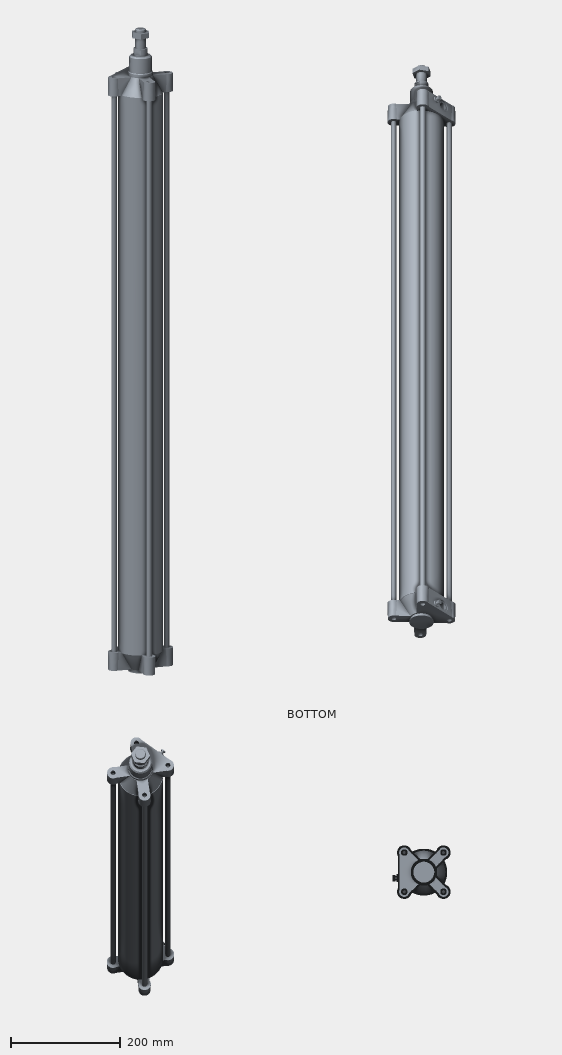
import cadquery as cq
import math

total_height = 1218.0
rear_cap_bottom = 6.0
cap_height = 34.0
front_cap_top = 1130.0
front_cap_bottom = front_cap_top - cap_height
rear_cap_top = rear_cap_bottom + cap_height
hub_top = 1168.0
overlap = 1.0

barrel_diameter = 83.0
tie_rod_diameter = 10.0

cap_width = 95.0
lobe_inner_diameter = 23.0
lobe_outer_diameter = 22.0
corner_offset = (cap_width - lobe_inner_diameter) / 2
arm_width = 21.0
arm_angles = (45, -45)
cap_face_offset = 46.0
cone_small_diameter = 46.0
screw_hole_diameter = 8.9
screw_hole_depth = 16.0

port_diameter = 15.0
port_spotface_diameter = 23.0
port_spotface_depth = 1.0
port_depth = 15.0
port_y = -9.0
port_from_inner_face = 21.0
screw_y = 11.0
screw_from_inner_face = 25.0
screw_head_diameter = 8.9
screw_neck_diameter = 6.0
screw_seat_diameter = 12.0
screw_seat_length = 2.0
screw_head_length = 2.0
screw_tip_offset = 56.0

hub_diameter = 41.0
flange_diameter = 45.0
flange_height = 7.0
flange_chamfer = 1.0
hub_chamfer = 2.0
spigot_rim_height = 1.0

rod_diameter = 25.0
thread_diameter = 20.0
flats_width = 22.0
flats_bottom = 1170.0
flats_top = 1179.0
rod_shoulder = 1181.0
rod_end_chamfer = 1.0
nut_sides = 6
nut_width = 30.0
nut_thickness = 10.0
nut_bottom = 1202.0

corners = [
    (x_side * corner_offset, y_side * corner_offset)
    for x_side in (-1, 1)
    for y_side in (-1, 1)
]


def disc(diameter, bottom, top):
    """Cylinder on the Z axis between two heights."""
    return cq.Workplane("XY").workplane(offset=bottom).circle(diameter / 2).extrude(top - bottom)


def posts(diameter, bottom, top):
    """Four cylinders standing on the corner points."""
    base = cq.Workplane("XY").workplane(offset=bottom)
    return base.pushPoints(corners).circle(diameter / 2).extrude(top - bottom)


def side_cylinder(diameter, y, z, start, end):
    """Cylinder along -X, between two distances from the axis."""
    base = cq.Workplane("YZ", origin=(-start, 0, 0)).center(y, z)
    return base.circle(diameter / 2).extrude(start - end)


def cap_body():
    """End cap with its inner face at Z = 0 and its outer face at cap_height."""
    cap = cq.Workplane(obj=cq.Solid.makeCone(barrel_diameter / 2, cone_small_diameter / 2, cap_height))

    arm_length = 2 * corner_offset * math.sqrt(2)
    for angle in arm_angles:
        arm = cq.Workplane("XY").rect(arm_length, arm_width).extrude(cap_height)
        cap = cap.union(arm.rotate((0, 0, 0), (0, 0, 1), angle))
    lobe = cq.Solid.makeCone(lobe_inner_diameter / 2, lobe_outer_diameter / 2, cap_height)
    for x, y in corners:
        cap = cap.union(cq.Workplane(obj=lobe.translate(cq.Vector(x, y, 0))))

    wedge_points = [
        (0, 0),
        (-corner_offset, corner_offset),
        (-cap_face_offset, corner_offset),
        (-cap_face_offset, -corner_offset),
        (-corner_offset, -corner_offset),
    ]
    wedge = cq.Workplane("XY").polyline(wedge_points).close().extrude(cap_height)
    return cap.union(wedge)


def add_screw_holes(cap):
    """Mounting holes in the outer ends of the lobes."""
    return cap.cut(posts(screw_hole_diameter, cap_height - screw_hole_depth, cap_height))


def place_front(cap):
    """Cap on the front end of the barrel, outer face up."""
    return cap.translate((0, 0, front_cap_bottom))


def place_rear(cap):
    """Cap on the rear end of the barrel, outer face down."""
    return cap.mirror("XY").translate((0, 0, rear_cap_top))


def add_port(housing, inner_face, outward):
    """Air port with a spotface; outward is +1 for the front cap and -1 for the rear cap."""
    z = inner_face + outward * port_from_inner_face
    spotface_floor = cap_face_offset - port_spotface_depth
    bore = side_cylinder(port_diameter, port_y, z, cap_face_offset - port_depth, cap_face_offset)
    spotface = side_cylinder(port_spotface_diameter, port_y, z, spotface_floor, cap_face_offset)
    return housing.cut(bore).cut(spotface)


def add_cushion_screw(housing, inner_face, outward):
    """Cushion screw with a seat, a thin neck and a head, standing out from the port face."""
    z = inner_face + outward * screw_from_inner_face
    root = cap_face_offset - overlap
    seat_end = cap_face_offset + screw_seat_length
    head_start = screw_tip_offset - screw_head_length
    seat = side_cylinder(screw_seat_diameter, screw_y, z, root, seat_end)
    neck = side_cylinder(screw_neck_diameter, screw_y, z, root, screw_tip_offset)
    head = side_cylinder(screw_head_diameter, screw_y, z, head_start, screw_tip_offset)
    return housing.union(seat).union(neck).union(head)


def make_housing():
    """Barrel, tie rods, both end caps, bearing hub and rear spigot."""
    housing = disc(barrel_diameter, rear_cap_top - overlap, front_cap_bottom + overlap)
    housing = housing.union(posts(tie_rod_diameter, rear_cap_top - overlap, front_cap_bottom + overlap))

    cap = add_screw_holes(cap_body())
    housing = housing.union(place_front(cap)).union(place_rear(cap))

    hub = disc(hub_diameter, front_cap_top - overlap, hub_top).faces(">Z").chamfer(hub_chamfer)
    flange = disc(flange_diameter, front_cap_top - overlap, front_cap_top + flange_height)
    flange = flange.faces(">Z").chamfer(flange_chamfer)
    housing = housing.union(hub).union(flange)

    spigot = disc(hub_diameter, 0, rear_cap_bottom + overlap)
    spigot_rim = disc(flange_diameter, 0, spigot_rim_height)
    housing = housing.union(spigot).union(spigot_rim)

    for inner_face, outward in ((front_cap_bottom, 1), (rear_cap_top, -1)):
        housing = add_port(housing, inner_face, outward)
        housing = add_cushion_screw(housing, inner_face, outward)

    return housing.cut(disc(rod_diameter, front_cap_bottom, hub_top))


def make_piston_rod():
    """Rod with wrench flats below a threaded end."""
    rod = disc(rod_diameter, front_cap_bottom, rod_shoulder)
    flats_height = flats_top - flats_bottom
    band = disc(rod_diameter, flats_bottom, flats_top)
    across = cq.Workplane("XY").workplane(offset=flats_bottom)
    rod = rod.cut(band.cut(across.rect(rod_diameter, flats_width).extrude(flats_height)))
    thread = disc(thread_diameter, rod_shoulder - overlap, total_height)
    return rod.union(thread.faces(">Z").chamfer(rod_end_chamfer))


def make_lock_nut():
    """Hexagon nut on the threaded rod end."""
    corner_diameter = nut_width / math.cos(math.pi / nut_sides)
    base = cq.Workplane("XY").workplane(offset=nut_bottom)
    nut = base.polygon(nut_sides, corner_diameter).extrude(nut_thickness)
    return nut.cut(disc(thread_diameter, nut_bottom, nut_bottom + nut_thickness))


housing = make_housing()
piston_rod = make_piston_rod()
lock_nut = make_lock_nut()

result = cq.Compound.makeCompound([housing.val(), piston_rod.val(), lock_nut.val()])